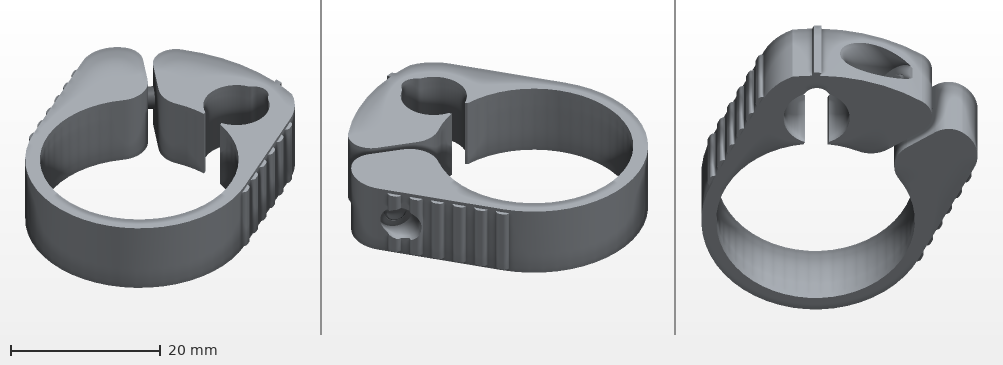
import cadquery as cq
import math

height = 10.0
overall_length = 40.25
overall_width = 31.5
ring_radius = 15.25
bore_radius = 13.3
crown_radius = overall_length - ring_radius

clamp_angle = math.radians(30)
gap_near = 3.45
gap_width = 1.15
gap_far = gap_near + gap_width
lip_radius = 4.0
lug_corner_radius = 3.1
shoulder_radius = 5.0
shoulder_start = 17.25

relief_radius = 4.43
relief_x = 7.45
relief_y = 16.05
relief_corner_radius = ring_radius - relief_x
notch_radius = 1.85
notch_offset = 3.3
notch_blend_radius = 1.0
slot_start = 4.2
slot_end = 7.1
nub_start = 10.2
nub_end = 11.1
nub_root = 0.4

bolt_diameter = 3.0
bolt_chamfer = 0.3
bolt_hole_diameter = 3.1
near_counterbore_diameter = 4.9
far_counterbore_diameter = 6.2
bolt_offset = 19.9
near_web = 6.72
far_web = 5.6
near_floor = gap_near - near_web
far_floor = gap_far + far_web
counterbore_reach = 10.05

rib_count = 6
rib_span = 15.0
rib_pitch = rib_span / (rib_count - 1)
rib_width = 1.9
rib_crest = 1.2
rib_corner_radius = 0.6
rib_depth = (overall_width - 2 * ring_radius) / 2
rib_margin = 0.5


def clamp_point(along, across):
    """Point at a distance along the bolt direction and a distance across it."""
    c, s = math.cos(clamp_angle), math.sin(clamp_angle)
    return (along * c - across * s, along * s + across * c)


def leg(hypotenuse, other_leg):
    """Remaining leg of a right triangle."""
    return math.sqrt(hypotenuse**2 - other_leg**2)


def toward(start, target, distance):
    """Point at a distance from start, on the ray through target."""
    dx, dy = target[0] - start[0], target[1] - start[1]
    scale = distance / math.hypot(dx, dy)
    return (start[0] + dx * scale, start[1] + dy * scale)


def arc_middle(start, end, centre, radius):
    """Middle of the shorter arc about centre between two points on it."""
    halfway = ((start[0] + end[0]) / 2, (start[1] + end[1]) / 2)
    return toward(centre, halfway, radius)


def make_blank():
    """Ring, crown and both lugs, with the bore and the clamp gap left open."""
    origin = (0.0, 0.0)
    relief = (relief_x, relief_y)

    spacing = math.hypot(*relief)
    reach = (crown_radius**2 - relief_corner_radius**2 + spacing**2) / (2 * spacing)
    swing = math.atan2(relief_y, relief_x) - math.acos(reach / crown_radius)
    crown_start = (crown_radius * math.cos(swing), crown_radius * math.sin(swing))

    far_corner_along = gap_far + lug_corner_radius
    far_corner_across = leg(crown_radius - lug_corner_radius, far_corner_along)
    far_corner = clamp_point(far_corner_along, far_corner_across)
    far_lip_across = leg(bore_radius + lip_radius, gap_far + lip_radius)
    far_lip = clamp_point(gap_far + lip_radius, far_lip_across)

    near_lip_across = leg(bore_radius + lip_radius, gap_near - lip_radius)
    near_lip = clamp_point(gap_near - lip_radius, near_lip_across)
    shoulder = (shoulder_radius - ring_radius, shoulder_start)
    near_corner_along = gap_near - lug_corner_radius
    shoulder_along = shoulder[0] * math.cos(clamp_angle) + shoulder[1] * math.sin(clamp_angle)
    shoulder_across = shoulder[1] * math.cos(clamp_angle) - shoulder[0] * math.sin(clamp_angle)
    near_corner_across = shoulder_across + leg(
        shoulder_radius - lug_corner_radius, near_corner_along - shoulder_along
    )
    near_corner = clamp_point(near_corner_along, near_corner_across)

    corner_start = (ring_radius, relief_y)
    crown_end = toward(origin, far_corner, crown_radius)
    far_flank_top = clamp_point(gap_far, far_corner_across)
    far_flank_foot = clamp_point(gap_far, far_lip_across)
    bore_start = toward(origin, far_lip, bore_radius)
    bore_end = toward(origin, near_lip, bore_radius)
    near_flank_foot = clamp_point(gap_near, near_lip_across)
    near_flank_top = clamp_point(gap_near, near_corner_across)
    shoulder_top = toward(shoulder, near_corner, shoulder_radius)
    shoulder_foot = (-ring_radius, shoulder_start)

    return (
        cq.Workplane("XY", origin=(0, 0, -height / 2))
        .moveTo(-ring_radius, 0)
        .threePointArc((0, -ring_radius), (ring_radius, 0))
        .lineTo(*corner_start)
        .threePointArc(arc_middle(corner_start, crown_start, relief, relief_corner_radius), crown_start)
        .threePointArc(arc_middle(crown_start, crown_end, origin, crown_radius), crown_end)
        .threePointArc(arc_middle(crown_end, far_flank_top, far_corner, lug_corner_radius), far_flank_top)
        .lineTo(*far_flank_foot)
        .threePointArc(arc_middle(far_flank_foot, bore_start, far_lip, lip_radius), bore_start)
        .threePointArc((0, -bore_radius), bore_end)
        .threePointArc(arc_middle(bore_end, near_flank_foot, near_lip, lip_radius), near_flank_foot)
        .lineTo(*near_flank_top)
        .threePointArc(arc_middle(near_flank_top, shoulder_top, near_corner, lug_corner_radius), shoulder_top)
        .threePointArc(arc_middle(shoulder_top, shoulder_foot, shoulder, shoulder_radius), shoulder_foot)
        .close()
        .extrude(height)
    )


def upright_cylinder(x, y, radius):
    return cq.Workplane("XY", origin=(x, y, -height / 2)).circle(radius).extrude(height)


def upright_slab(start, end, bottom, top):
    """Full-height block between two X positions and two Y positions."""
    return (
        cq.Workplane("XY", origin=(start, bottom, 0))
        .box(end - start, top - bottom, height, centered=(False, False, True))
    )


def make_relief():
    """Relief bore with its rounded notch, opened into the ring bore by a slot."""
    relief = (relief_x, relief_y)
    notch_distance = math.hypot(*relief) + notch_offset
    notch = toward((0, 0), relief, notch_distance)
    bore = upright_cylinder(relief_x, relief_y, relief_radius)
    notched = bore.union(upright_cylinder(*notch, notch_radius))

    half_height = height / 2
    quarter = cq.selectors.BoxSelector(
        (relief_x, relief_y + relief_radius / 2, -half_height),
        (relief_x + relief_radius, relief_y + relief_radius, half_height),
    )
    notched = notched.edges("|Z").edges(quarter).fillet(notch_blend_radius)
    return notched.union(upright_slab(slot_start, slot_end, 0, relief_y))


def make_nub():
    """Strip where the corner about the relief bore stands proud of the crown."""
    wall_middle = relief_y + (relief_radius + relief_corner_radius) / 2
    strip = upright_slab(nub_start, nub_end, wall_middle - nub_root, relief_y + relief_corner_radius)
    return strip.intersect(upright_cylinder(relief_x, relief_y, relief_corner_radius))


def bolt_cylinder(diameter, start, end):
    """Cylinder on the bolt axis between two positions along it."""
    plane = cq.Plane(
        origin=(*clamp_point(start, bolt_offset), 0),
        xDir=(0, 0, 1),
        normal=(*clamp_point(1, 0), 0),
    )
    return cq.Workplane(plane).circle(diameter / 2).extrude(end - start)


def make_rib(side, y):
    """Upright grip rib: a trapezium on the side wall with its crest corners rounded."""
    crest_x = ring_radius + rib_depth
    rib = (
        cq.Workplane("XY", origin=(0, y, rib_margin - height / 2))
        .polyline([
            (ring_radius, -rib_width / 2),
            (crest_x, -rib_crest / 2),
            (crest_x, rib_crest / 2),
            (ring_radius, rib_width / 2),
        ])
        .close()
        .extrude(height - 2 * rib_margin)
        .edges("|Z and >X")
        .fillet(rib_corner_radius)
    )
    return rib if side > 0 else rib.mirror("YZ")


def make_clamp():
    clamp = make_blank().cut(make_relief()).union(make_nub())
    for side in (-1, 1):
        for index in range(rib_count):
            clamp = clamp.union(make_rib(side, index * rib_pitch))
    clamp = clamp.cut(bolt_cylinder(bolt_hole_diameter, near_floor, far_floor))
    clamp = clamp.cut(bolt_cylinder(near_counterbore_diameter, near_floor - counterbore_reach, near_floor))
    return clamp.cut(bolt_cylinder(far_counterbore_diameter, far_floor, far_floor + counterbore_reach))


def make_bolt():
    """Plain bolt whose chamfered ends stand just proud of the counterbore floors."""
    bolt = bolt_cylinder(bolt_diameter, near_floor - bolt_chamfer, far_floor + bolt_chamfer)
    return bolt.faces("<X or >X").chamfer(bolt_chamfer)


clamp = make_clamp()
bolt = make_bolt()
result = cq.Compound.makeCompound([clamp.val(), bolt.val()])